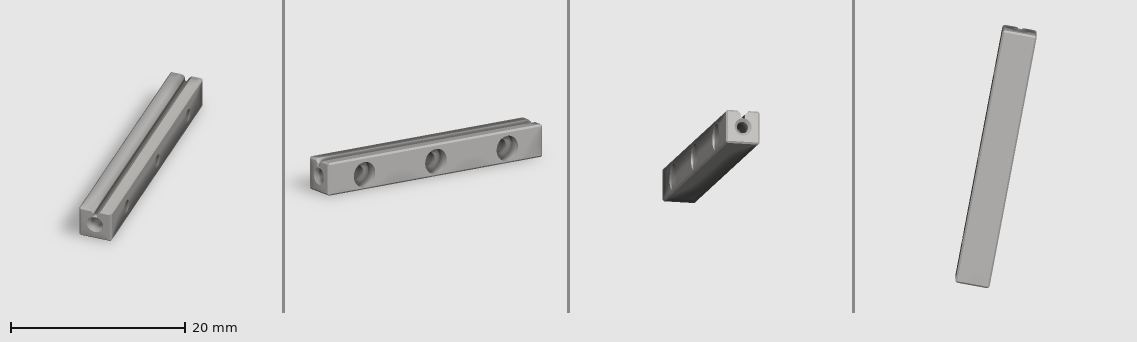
import cadquery as cq
import math

width = 4.0
length = 30.0
height = 3.9
edge_chamfer = 0.2

groove_mouth_width = 1.4
slot_width = 0.48
groove_depth = 0.93

hole_diameter = 1.6
counterbore_diameter = 3.0
counterbore_depth = 1.4
hole_pitch = 10.0
hole_count = 3
hole_below_top = 2.1

end_hole_diameter = 1.32
end_hole_depth = 3.6
drill_point_angle = 118.0
end_countersink_diameter = 2.0
end_countersink_angle = 90.0

top = height / 2


def make_body():
    """Block with every edge bevelled; at each corner the three bevels meet in a point."""
    block = cq.Workplane("XY").box(width, length, height)
    body = block
    for edge_direction in ("|X", "|Y", "|Z"):
        body = body.intersect(block.edges(edge_direction).chamfer(edge_chamfer))
    return body


def make_groove():
    mouth = groove_mouth_width / 2
    slot = slot_width / 2
    v_bottom = top - (mouth - slot)
    slot_bottom = top - groove_depth
    outline = [
        (-mouth, top),
        (-slot, v_bottom),
        (-slot, slot_bottom),
        (slot, slot_bottom),
        (slot, v_bottom),
        (mouth, top),
    ]
    return cq.Workplane("XZ").polyline(outline).close().extrude(length / 2, both=True)


def drill_mounting_holes(body):
    first = -(hole_count - 1) / 2
    centers = [((first + i) * hole_pitch, top - hole_below_top) for i in range(hole_count)]
    outer_face = cq.Workplane("YZ", origin=(-width / 2, 0, 0)).pushPoints(centers)
    holes = outer_face.circle(hole_diameter / 2).extrude(width)
    counterbores = outer_face.circle(counterbore_diameter / 2).extrude(counterbore_depth)
    return body.cut(holes).cut(counterbores)


def make_end_hole():
    """Tool for the hole in the -Y end: countersink, straight bore and drill point."""
    radius = end_hole_diameter / 2
    mouth = end_countersink_diameter / 2
    countersink_depth = (mouth - radius) / math.tan(math.radians(end_countersink_angle / 2))
    point_depth = radius / math.tan(math.radians(drill_point_angle / 2))
    half_section = [
        (0, 0),
        (mouth, 0),
        (radius, countersink_depth),
        (radius, end_hole_depth),
        (0, end_hole_depth + point_depth),
    ]
    tool = cq.Workplane("XY").polyline(half_section).close().revolve(360, (0, 0), (0, 1))
    return tool.translate((0, -length / 2, 0))


end_hole = make_end_hole()

result = make_body().cut(make_groove())
result = drill_mounting_holes(result)
result = result.cut(end_hole).cut(end_hole.mirror("XZ"))